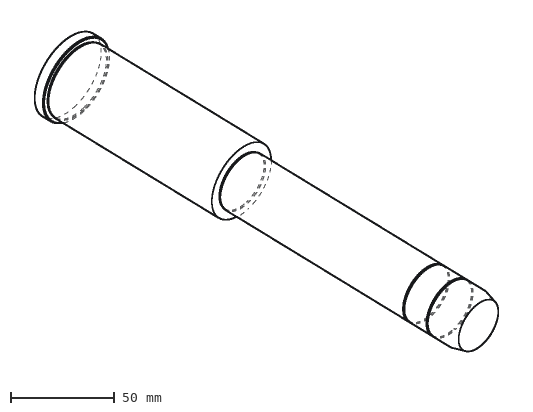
import cadquery as cq
import math

total_length = 271.0
head_diameter = 47.0
head_length = 6.0
head_edge_chamfer = 0.5
shank_diameter = 42.0
shank_end = 114.5
pin_diameter = 32.0

relief_width = 0.8
relief_depth = 0.3

lead_length = 5.1
lead_drop = 0.05

ring_groove_starts = (236.0, 251.5)
ring_groove_width = 0.8
ring_groove_depth = 0.3

tip_length = 7.3
tip_angle = 15.0

head_radius = head_diameter / 2
shank_radius = shank_diameter / 2
pin_radius = pin_diameter / 2


def turned_body():
    """Revolve the stepped outline with its conical tip."""
    tip_start = total_length - tip_length
    tip_drop = tip_length * math.tan(math.radians(tip_angle))
    outline = (
        cq.Workplane("XY")
        .moveTo(0, 0)
        .lineTo(0, head_radius)
        .lineTo(head_length - head_edge_chamfer, head_radius)
        .lineTo(head_length, head_radius - head_edge_chamfer)
        .lineTo(head_length, shank_radius)
        .lineTo(shank_end - lead_length, shank_radius)
        .lineTo(shank_end, shank_radius - lead_drop)
        .lineTo(shank_end, pin_radius)
        .lineTo(tip_start, pin_radius)
        .lineTo(total_length, pin_radius - tip_drop)
        .lineTo(total_length, 0)
        .close()
    )
    return outline.revolve(360, (0, 0, 0), (1, 0, 0))


def groove_cutter(start, width, surface_radius, depth):
    """Ring that cuts a square groove into a cylindrical surface."""
    return (
        cq.Workplane("YZ", origin=(start, 0, 0))
        .circle(surface_radius)
        .circle(surface_radius - depth)
        .extrude(width)
    )


result = turned_body()

for shoulder, radius in ((head_length, shank_radius), (shank_end, pin_radius)):
    result = result.cut(groove_cutter(shoulder, relief_width, radius, relief_depth))

for start in ring_groove_starts:
    result = result.cut(groove_cutter(start, ring_groove_width, pin_radius, ring_groove_depth))